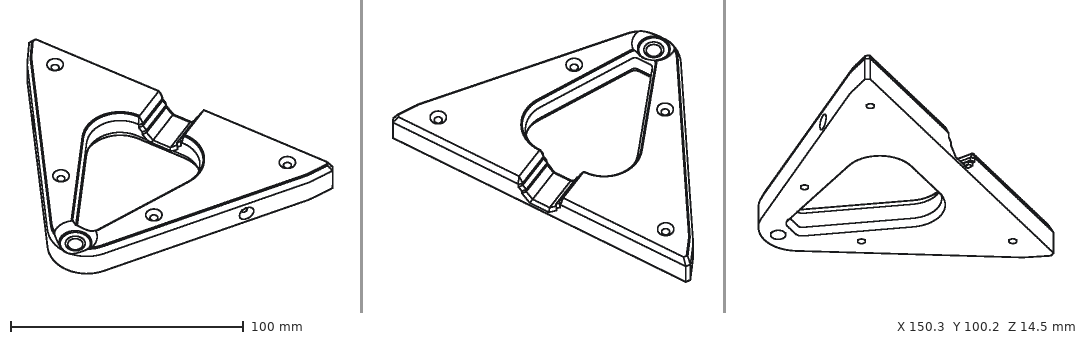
import cadquery as cq
import math


thickness = 14.5
depth = 100.19
half_width = 150.34 / 2
tip_radius = 17.0
tip_to_bore = 7.0
tip_y = -tip_to_bore
tip_center_y = tip_y + tip_radius
back_y = tip_y + depth
corner_cut_x = 1.1
corner_cut_y = 2.0
shoulder_upper = (70.6, back_y - 11.35)
shoulder_lower = (69.65, back_y - 13.15)

bevel_height = 3.5
bevel_width = 1.5
bevel_angle = math.degrees(math.atan2(bevel_width, bevel_height))
bevel_z = thickness - bevel_height
corner_bevel_width = 2.5
edge_break = 0.4

land_width = 20.0
opening_radius = 14.5
opening_center_x = 11.4
opening_back_y = back_y - land_width
opening_center_y = opening_back_y - opening_radius
opening_front_y = 8.15
opening_corner_radius = 2.0
opening_side_angle = math.radians(24.3)

channel_profile = [
    (11.15, thickness),
    (9.3, bevel_z),
    (9.3, 9.5),
    (7.5, 7.7),
    (7.5, 6.2),
    (4.3, 3.0),
]
channel_flare_length = 1.5
channel_flare_width = 1.25

bore_diameter = 6.5
bore_chamfer_width = 1.0
bore_chamfer_depth = 0.5
seat_radius = 6.5
seat_z = 10.2
seat_chamfer = 0.5
flare_middle = (7.6, 12.6)
flare_rim_radius = 9.4

screw_diameter = 3.4
side_screw_diameter = 2.5
screw_head_diameter = 7.0
screw_points = [(57.5, 82.9), (23.0, 27.8)]
side_screw_y = 55.9
side_screw_z = 5.15
side_head_diameter = 6.8
side_screw_depth = 12.0

overlap = 1.0


def mirrored(point):
    """The point reflected to the other side of the centre plane."""
    return (-point[0], point[1])


def long_side_angle():
    """Angle from the Y direction of the long side, which is tangent to the tip round."""
    across = shoulder_lower[0]
    along = shoulder_lower[1] - tip_center_y
    return math.atan2(across, along) - math.asin(tip_radius / math.hypot(across, along))


def plate_outline(z):
    """Outline with sharp back corners, drawn at height z."""
    short_side_slope = (half_width - shoulder_upper[0]) / (back_y - corner_cut_y - shoulder_upper[1])
    corner_x = half_width + corner_cut_y * short_side_slope
    angle = long_side_angle()
    tangent_x = tip_radius * math.cos(angle)
    tangent_y = tip_center_y - tip_radius * math.sin(angle)
    right_side = [
        (corner_x, back_y),
        shoulder_upper,
        shoulder_lower,
        (tangent_x, tangent_y),
    ]
    left_side = [mirrored(point) for point in reversed(right_side)]
    return (
        cq.Workplane("XY", origin=(0, 0, z))
        .polyline(right_side)
        .threePointArc((0, tip_y), left_side[0])
        .polyline(left_side)
        .close()
    )


def opening_sketch():
    tangent_x = opening_center_x + opening_radius * math.cos(opening_side_angle)
    tangent_y = opening_center_y - opening_radius * math.sin(opening_side_angle)
    front_x = tangent_x - (tangent_y - opening_front_y) * math.tan(opening_side_angle)
    arc_middle = (
        opening_center_x + opening_radius * math.cos(math.pi / 4),
        opening_center_y + opening_radius * math.sin(math.pi / 4),
    )
    back = (opening_center_x, opening_back_y)
    tangent = (tangent_x, tangent_y)
    front = (front_x, opening_front_y)
    return (
        cq.Sketch()
        .segment(mirrored(back), back)
        .arc(back, arc_middle, tangent)
        .segment(tangent, front)
        .segment(front, mirrored(front))
        .segment(mirrored(front), mirrored(tangent))
        .arc(mirrored(tangent), mirrored(arc_middle), mirrored(back))
        .assemble()
        .vertices("<Y")
        .fillet(opening_corner_radius)
    )


def make_opening():
    """Straight opening that widens by one bevel at the underside and one at the top."""
    sketch = opening_sketch()
    straight = cq.Workplane("XY").placeSketch(sketch).extrude(thickness)
    upper_flare = (
        cq.Workplane("XY", origin=(0, 0, bevel_z))
        .placeSketch(sketch)
        .extrude(bevel_height, taper=-bevel_angle)
    )
    lower_flare = (
        cq.Workplane("XY", origin=(0, 0, bevel_height))
        .placeSketch(sketch)
        .extrude(-bevel_height, taper=-bevel_angle)
    )
    return straight.union(upper_flare).union(lower_flare)


def make_corner_cutter():
    """Wedge that leaves an upright flat and a leaning bevel on the +X back corner."""
    flat_length = math.hypot(corner_cut_x, corner_cut_y)
    plane = cq.Plane(
        origin=(half_width - corner_cut_x / 2, back_y - corner_cut_y / 2, 0),
        xDir=(corner_cut_y, corner_cut_x, 0),
        normal=(corner_cut_x, -corner_cut_y, 0),
    )
    return (
        cq.Workplane(plane)
        .lineTo(0, bevel_z)
        .lineTo(-corner_bevel_width, thickness)
        .lineTo(flat_length, thickness)
        .lineTo(flat_length, 0)
        .close()
        .extrude(2 * flat_length, both=True)
    )


def make_plate():
    lower = plate_outline(0).extrude(bevel_z)
    upper = plate_outline(bevel_z).extrude(bevel_height, taper=bevel_angle)
    corner_cutter = make_corner_cutter()
    plate = lower.union(upper).cut(corner_cutter).cut(corner_cutter.mirror("YZ")).cut(make_opening())
    broken_below_y = back_y - corner_cut_y - bevel_width
    top_edges = plate.faces(">Z").edges()
    return top_edges.filter(lambda edge: edge.Center().y < broken_below_y).chamfer(edge_break)


def channel_section(y):
    """Closed channel profile at one place along Y, reaching above the top face."""
    top_x, top_z = channel_profile[0]
    wall_x, wall_z = channel_profile[1]
    wall_slope = (top_x - wall_x) / (top_z - wall_z)
    rim_z = thickness + overlap
    rim = (top_x + wall_slope * (rim_z - top_z), rim_z)
    right_side = [rim] + channel_profile[1:]
    left_side = [mirrored(point) for point in reversed(right_side)]
    plane = cq.Plane(origin=(0, y, 0), xDir=(-1, 0, 0), normal=(0, 1, 0))
    return cq.Workplane(plane).polyline(right_side + left_side).close()


def channel_end(end_y, inner_y):
    """Flare that widens the channel profile with sharp corners from inner_y to end_y."""
    inner = channel_section(inner_y).wire().val()
    outer = channel_section(end_y).offset2D(channel_flare_width, "intersection").val()
    return cq.Workplane(cq.Solid.makeLoft([inner, outer], True))


def make_channel():
    """Channel across the land, with both ends flared."""
    straight = channel_section(opening_back_y).extrude(land_width)
    back_end = channel_end(back_y, back_y - channel_flare_length)
    front_end = channel_end(opening_back_y, opening_back_y + channel_flare_length)
    return straight.union(back_end).union(front_end)


def make_bore():
    """Through bore with a chamfered rim, below a seat that flares out to the top face."""
    bore_radius = bore_diameter / 2
    return (
        cq.Workplane("XZ")
        .lineTo(bore_radius, 0)
        .lineTo(bore_radius, seat_z - bore_chamfer_depth)
        .lineTo(bore_radius + bore_chamfer_width, seat_z)
        .lineTo(seat_radius, seat_z)
        .lineTo(seat_radius + seat_chamfer, seat_z + seat_chamfer)
        .threePointArc(flare_middle, (flare_rim_radius, thickness))
        .lineTo(0, thickness)
        .close()
        .revolve(360, (0, 0), (0, 1))
    )


def countersunk_hole(position, direction, diameter, head_diameter, length):
    """Hole from a surface point along a direction, with a 90 degree countersink."""
    start = cq.Vector(*position)
    axis = cq.Vector(*direction)
    head_radius = head_diameter / 2
    drill = cq.Solid.makeCylinder(diameter / 2, length, start, axis)
    head = cq.Solid.makeCone(head_radius, 0, head_radius, start, axis)
    return cq.Workplane(drill).union(cq.Workplane(head))


def make_screw_holes():
    """Vertical through holes in both arms and one blind hole in each long side."""
    angle = long_side_angle()
    side_x = shoulder_lower[0] - (shoulder_lower[1] - side_screw_y) * math.tan(angle)
    down = (0, 0, -1)
    holes = cq.Workplane("XY")
    for side in (1, -1):
        for x, y in screw_points:
            top = (side * x, y, thickness)
            hole = countersunk_hole(top, down, screw_diameter, screw_head_diameter, thickness)
            holes = holes.add(hole)
        entry = (side * side_x, side_screw_y, side_screw_z)
        inward = (-side * math.cos(angle), math.sin(angle), 0)
        hole = countersunk_hole(
            entry, inward, side_screw_diameter, side_head_diameter, side_screw_depth
        )
        holes = holes.add(hole)
    return holes.combine()


result = make_plate().cut(make_channel()).cut(make_screw_holes()).cut(make_bore())